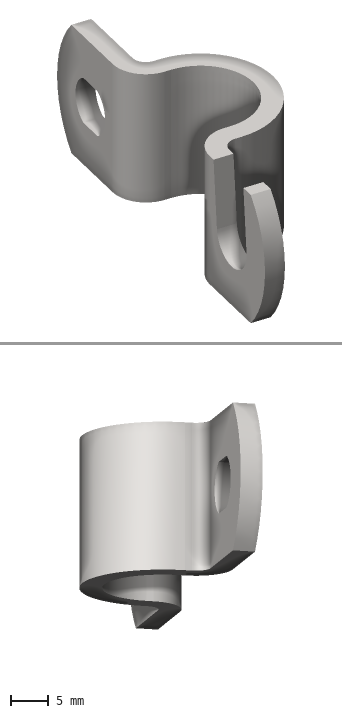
import cadquery as cq

length = 55.9
strip_width = 20.0
height = 17.0

thickness = 3.0
arch_inner_radius = 8.0
bend_inner_radius = 2.0
end_radius = 15.0

fixing_offset = 19.0
hole_diameter = 8.0
hole_flat_height = 7.0
slot_width = 8.0
slot_tilt = 5.0

arch_outer_radius = arch_inner_radius + thickness
arch_center_y = height - arch_outer_radius
bend_outer_radius = bend_inner_radius + thickness
bend_center_x = arch_outer_radius + bend_inner_radius
half_length = length / 2


def extrude_along_y(sketch, depth):
    """Extrude an XZ sketch from the mounting face toward +Y."""
    return sketch.extrude(-depth)


def bent_strip():
    """Omega-shaped strip: two flat feet joined by a half-round arch."""
    profile = (
        cq.Workplane("XY")
        .moveTo(-half_length, 0)
        .lineTo(-bend_center_x, 0)
        .radiusArc((-arch_inner_radius, bend_outer_radius), -bend_outer_radius)
        .lineTo(-arch_inner_radius, arch_center_y)
        .threePointArc((0, height - thickness), (arch_inner_radius, arch_center_y))
        .lineTo(arch_inner_radius, bend_outer_radius)
        .radiusArc((bend_center_x, 0), -bend_outer_radius)
        .lineTo(half_length, 0)
        .lineTo(half_length, thickness)
        .lineTo(bend_center_x, thickness)
        .radiusArc((arch_outer_radius, bend_outer_radius), bend_inner_radius)
        .lineTo(arch_outer_radius, arch_center_y)
        .threePointArc((0, height), (-arch_outer_radius, arch_center_y))
        .lineTo(-arch_outer_radius, bend_outer_radius)
        .radiusArc((-bend_center_x, thickness), bend_inner_radius)
        .lineTo(-half_length, thickness)
        .close()
    )
    return profile.extrude(strip_width / 2, both=True)


def rounded_end_envelope():
    """Block with both X ends rounded, used to trim the feet."""
    end_center_x = half_length - end_radius
    envelope = extrude_along_y(
        cq.Workplane("XZ").rect(2 * end_center_x, 2 * end_radius), height
    )
    for side in (-1, 1):
        end = cq.Workplane("XZ").center(side * end_center_x, 0).circle(end_radius)
        envelope = envelope.union(extrude_along_y(end, height))
    return envelope


def flatted_hole():
    """Round hole with flats above and below."""
    sketch_plane = cq.Workplane("XZ").center(-fixing_offset, 0)
    round_hole = extrude_along_y(sketch_plane.circle(hole_diameter / 2), thickness)
    flats = extrude_along_y(sketch_plane.rect(hole_diameter, hole_flat_height), thickness)
    return round_hole.intersect(flats)


def tilted_slot():
    """Round-bottomed slot, open at the top edge and leaning toward the arch."""
    sketch_plane = cq.Workplane("XZ").center(fixing_offset, 0)
    bottom = extrude_along_y(sketch_plane.circle(slot_width / 2), thickness)
    channel_sketch = sketch_plane.center(0, strip_width / 2).rect(slot_width, strip_width)
    channel = extrude_along_y(channel_sketch, thickness)
    axis_start = (fixing_offset, 0, 0)
    axis_end = (fixing_offset, 1, 0)
    return bottom.union(channel.rotate(axis_start, axis_end, -slot_tilt))


result = (
    bent_strip()
    .intersect(rounded_end_envelope())
    .cut(flatted_hole())
    .cut(tilted_slot())
)